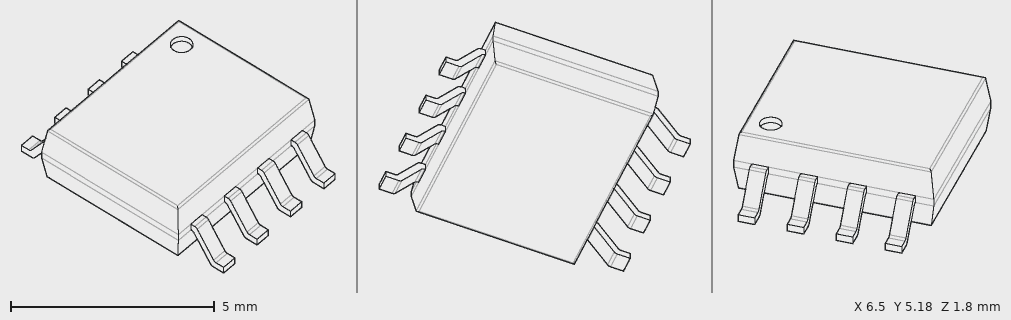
import cadquery as cq
import math

span_x = 6.5
body_width = 4.395
body_length = 5.18
total_height = 1.8
standoff = 0.12

leads_per_side = 4
lead_pitch = 1.27
lead_width = 0.43
lead_thickness = 0.2
lead_top = 1.02
lead_angle = 54.5
foot_length = 0.29
bend_radius = 0.1

band_top = lead_top
band_bottom = lead_top - lead_thickness
draft_angle = 8.0
edge_radius = 0.06

dimple_diameter = 0.55
dimple_inset = 0.72
dimple_depth = 0.16


def body_block(z_start, height, taper=0):
    """Block standing on the full body outline at z_start; a negative height grows downward."""
    return (
        cq.Workplane("XY", origin=(0, 0, z_start))
        .rect(body_width, body_length)
        .extrude(height, taper=taper)
    )


def make_body():
    """Moulded body: a straight band with walls drafted inward above and below it."""
    band = body_block(band_bottom, lead_thickness)
    upper = body_block(band_top, total_height - band_top, draft_angle)
    lower = body_block(band_bottom, standoff - band_bottom, draft_angle)
    body = band.union(upper).union(lower)
    body = body.faces(">Z or <Z").edges().fillet(edge_radius)
    dimple = (
        cq.Workplane("XY", origin=(0, 0, total_height - dimple_depth))
        .center(dimple_inset - body_width / 2, body_length / 2 - dimple_inset)
        .circle(dimple_diameter / 2)
        .extrude(dimple_depth)
    )
    return body.cut(dimple)


def make_lead(y_center, turn):
    """Gull-wing lead on the -X side at y_center, then turned about Z by turn degrees."""
    tip_x = -span_x / 2
    wall_x = -body_width / 2
    angle = math.radians(lead_angle)
    upper_foot_x = tip_x + foot_length
    upper_shoulder_x = upper_foot_x + (lead_top - lead_thickness) / math.tan(angle)
    bend_shift = lead_thickness * math.tan(angle / 2)
    profile = [
        (tip_x, 0),
        (upper_foot_x + bend_shift, 0),
        (upper_shoulder_x + bend_shift, band_bottom),
        (wall_x, band_bottom),
        (wall_x, lead_top),
        (upper_shoulder_x, lead_top),
        (upper_foot_x, lead_thickness),
        (tip_x, lead_thickness),
    ]
    lead = (
        cq.Workplane("XZ", origin=(0, y_center, 0))
        .polyline(profile)
        .close()
        .extrude(lead_width / 2, both=True)
    )
    lead = lead.edges("(|Y) and (not (<X or >X))").fillet(bend_radius)
    return lead.rotate((0, 0, 0), (0, 0, 1), turn)


body = make_body()
leads = []
for turn in (0, 180):
    for index in range(leads_per_side):
        y_center = (index - (leads_per_side - 1) / 2) * lead_pitch
        leads.append(make_lead(y_center, turn))

result = cq.Compound.makeCompound([body.val(), *[lead.val() for lead in leads]])